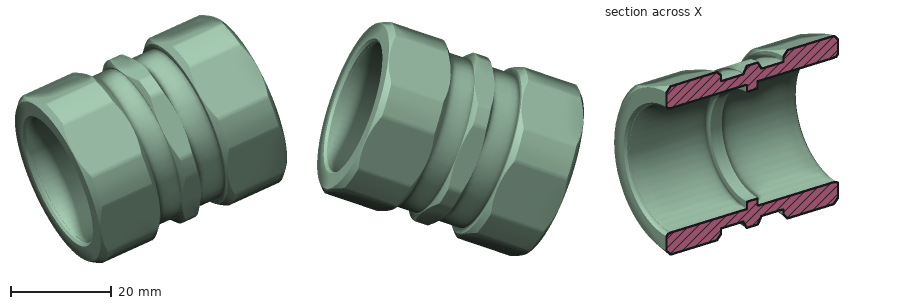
import cadquery as cq
import math

overall_length = 42.8
half_length = overall_length / 2
body_diameter = 32.55

nut_length = 13.7
nut_across_flats = 35.1
nut_corner_diameter = 37.16
nut_flat_angle = 10.5
nut_chamfer_radial = 1.15
nut_chamfer_axial = 1.1

collar_length = 4.4
collar_across_flats = 33.0
collar_corner_diameter = 35.75
collar_flat_angle = 0.0
collar_chamfer_radial = 1.4
collar_chamfer_axial = 0.8

corner_blend_radius = 2.5

through_diameter = 24.1
socket_diameter = 27.3
socket_depth = 20.0
mouth_diameter = 27.45
mouth_depth = 1.0
mouth_chamfer = 0.5

FLAT_COUNT = 6
FULL_TURN = 360


def cylinder(diameter, length):
    """Cylinder on the Y axis, centred on the origin."""
    return cq.Workplane("XZ", origin=(0, -length / 2, 0)).circle(diameter / 2).extrude(-length)


def chamfered_round(diameter, length, radial, axial):
    """Round bar centred on the origin, with a cone at both ends."""
    radius = diameter / 2
    half = length / 2
    profile = [
        (0, -half),
        (radius - radial, -half),
        (radius, axial - half),
        (radius, half - axial),
        (radius - radial, half),
        (0, half),
    ]
    return cq.Workplane("XY").polyline(profile).close().revolve(FULL_TURN, (0, 0), (0, 1))


def rounded_hexagon(across_flats, corner_diameter, flat_angle, length):
    """Hexagonal prism along Y with round corners blended into the flats."""
    flat_radius = across_flats / 2
    corner_radius = corner_diameter / 2
    half_flat = math.degrees(math.acos(flat_radius / corner_radius))
    pitch = FULL_TURN / FLAT_COUNT

    def corner_point(angle):
        direction = math.radians(angle)
        return corner_radius * math.cos(direction), corner_radius * math.sin(direction)

    outline = cq.Workplane("XZ", origin=(0, -length / 2, 0))
    outline = outline.moveTo(*corner_point(flat_angle - half_flat))
    for index in range(FLAT_COUNT):
        normal = flat_angle + index * pitch
        outline = outline.lineTo(*corner_point(normal + half_flat))
        outline = outline.threePointArc(
            corner_point(normal + pitch / 2),
            corner_point(normal + pitch - half_flat),
        )
    return outline.close().extrude(-length).edges("|Y").fillet(corner_blend_radius)


def make_nut():
    """Clamping nut centred on the origin, chamfered at both ends."""
    hexagon = rounded_hexagon(nut_across_flats, nut_corner_diameter, nut_flat_angle, nut_length)
    envelope = chamfered_round(nut_corner_diameter, nut_length, nut_chamfer_radial, nut_chamfer_axial)
    return hexagon.intersect(envelope)


def make_collar():
    """Spanner collar centred on the origin, chamfered at both ends."""
    hexagon = rounded_hexagon(
        collar_across_flats, collar_corner_diameter, collar_flat_angle, collar_length
    )
    envelope = chamfered_round(
        collar_corner_diameter, collar_length, collar_chamfer_radial, collar_chamfer_axial
    )
    return hexagon.intersect(envelope)


def make_bore():
    """Stepped bore with the same socket and chamfered mouth at both ends."""
    profile = [
        (0, 0),
        (through_diameter / 2, 0),
        (through_diameter / 2, half_length - socket_depth),
        (socket_diameter / 2, half_length - socket_depth),
        (socket_diameter / 2, half_length - mouth_depth),
        (mouth_diameter / 2, half_length - mouth_depth),
        (mouth_diameter / 2, half_length - mouth_chamfer),
        (mouth_diameter / 2 + mouth_chamfer, half_length),
        (0, half_length),
    ]
    end = cq.Workplane("XY").polyline(profile).close().revolve(FULL_TURN, (0, 0), (0, 1))
    return end.union(end.mirror("XZ"))


body_length = overall_length - nut_length
nut_centre = body_length / 2

result = cylinder(body_diameter, body_length).union(make_collar())
for side in (-1, 1):
    result = result.union(make_nut().translate((0, side * nut_centre, 0)))
result = result.cut(make_bore())